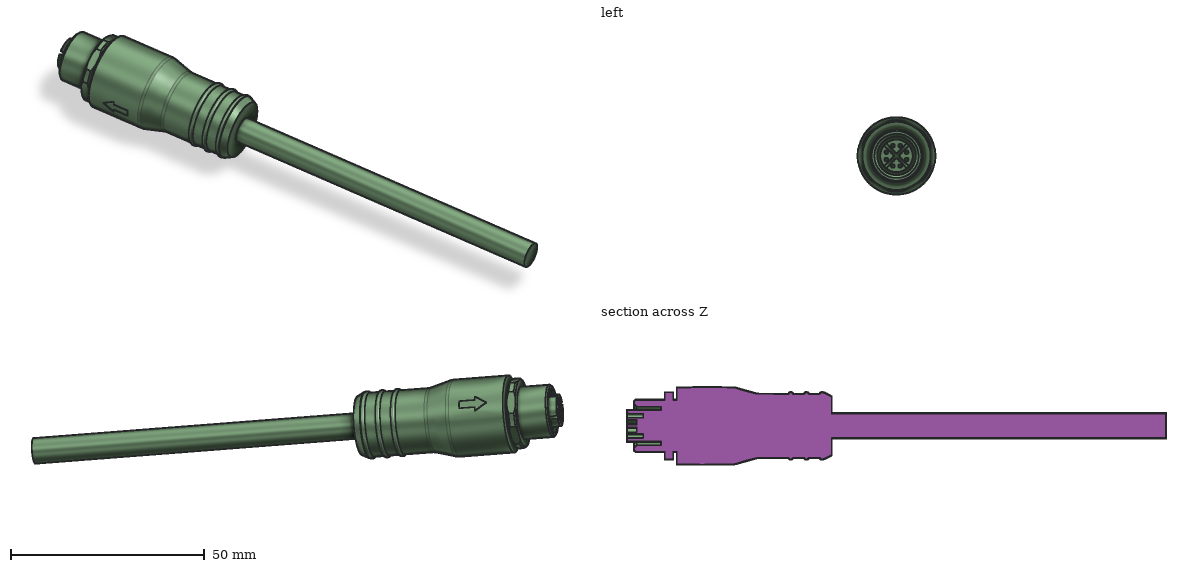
import cadquery as cq
import math

total_length = 139.0

insert_radius = 4.2
slot_width = 0.8
slot_depth = 2.5
slot_angles = (45, 135)
quadrant_count = 4
contact_circle_radius = 2.8
contact_spread = 40.0
contact_hole_diameter = 1.0
contact_hole_depth = 4.2

barrel_start = 1.8
barrel_radius = 6.8
barrel_chamfer = 0.4
bore_radius = 5.0
bore_chamfer = 0.7
bore_depth = 7.0

nut_start = 9.7
nut_end = 12.0
nut_across_flats = 17.4
nut_corner_radius = 9.2
nut_chamfer = 0.4

grip_start = 12.8
grip_radius = 10.0
taper_start = 27.7
taper_end = 33.6
rear_radius = 8.3
taper_blend = 3.0

rib_width = 1.3
rib_height = 0.4
rib_pitch = 4.0
rib_count = 3
first_rib = 42.2
last_rib = first_rib + (rib_count - 1) * rib_pitch
cone_start = last_rib + rib_width / 2
cone_start_radius = 8.6
grip_end = 52.8
grip_end_radius = 7.6

cable_radius = 3.3
cable_overlap = 1.4

arrow_tip = 17.1
arrow_neck = 20.1
arrow_end = 24.3
arrow_half_head = 2.0
arrow_half_shaft = 1.0
arrow_height = 0.07


def cylinder(start, end, radius):
    """Solid cylinder along X between two stations."""
    return cq.Workplane("YZ", origin=(start, 0, 0)).circle(radius).extrude(end - start)


def make_barrel():
    barrel = cylinder(barrel_start, grip_start, barrel_radius).faces("<X").chamfer(barrel_chamfer)
    bore = cylinder(barrel_start, barrel_start + bore_depth, bore_radius)
    mouth_cone = (
        cq.Workplane("YZ", origin=(barrel_start, 0, 0))
        .circle(bore_radius + bore_chamfer)
        .workplane(offset=bore_chamfer)
        .circle(bore_radius)
        .loft()
    )
    return barrel.cut(bore).cut(mouth_cone)


def make_insert():
    insert = cylinder(0, nut_start, insert_radius)
    for angle in slot_angles:
        slot = cq.Workplane("XY").box(slot_depth, 2 * insert_radius, slot_width, centered=(False, True, True))
        insert = insert.cut(slot.rotate((0, 0, 0), (1, 0, 0), angle))
    positions = []
    for quadrant in range(quadrant_count):
        for offset in (-contact_spread / 2, contact_spread / 2):
            angle = math.radians(360 / quadrant_count * quadrant + offset)
            y = contact_circle_radius * math.cos(angle)
            z = contact_circle_radius * math.sin(angle)
            positions.append((y, z))
    holes = (
        cq.Workplane("YZ")
        .pushPoints(positions)
        .circle(contact_hole_diameter / 2)
        .extrude(contact_hole_depth)
    )
    return insert.cut(holes)


def make_nut():
    corner_diameter = nut_across_flats / math.cos(math.radians(30))
    length = nut_end - nut_start
    hexagon = (
        cq.Workplane("YZ", origin=(nut_start, 0, 0))
        .transformed(rotate=(0, 0, 30))
        .polygon(6, corner_diameter)
        .extrude(length)
    )
    turned = cylinder(nut_start, nut_end, nut_corner_radius).faces("<X or >X").chamfer(nut_chamfer)
    return hexagon.intersect(turned)


def make_grip():
    outline = [
        (grip_start, 0),
        (grip_start, grip_radius),
        (taper_start, grip_radius),
        (taper_end, rear_radius),
        (last_rib, rear_radius),
        (cone_start, cone_start_radius),
        (grip_end, grip_end_radius),
        (grip_end, 0),
    ]
    grip = cq.Workplane("XY").polyline(outline).close().revolve(360, (0, 0, 0), (1, 0, 0))
    blend_margin = 0.1
    for station in (taper_start, taper_end):
        selector = cq.selectors.BoxSelector(
            (station - blend_margin, -grip_radius, -grip_radius),
            (station + blend_margin, grip_radius, grip_radius),
        )
        grip = grip.edges("%CIRCLE").edges(selector).fillet(taper_blend)
    for index in range(rib_count):
        grip = grip.union(make_rib(first_rib + index * rib_pitch))
    return grip


def make_rib(station):
    """Disc with a crowned rim that stands proud of the slim rear."""
    front = station - rib_width / 2
    back = station + rib_width / 2
    return (
        cq.Workplane("XY")
        .moveTo(front, 0)
        .lineTo(front, rear_radius)
        .threePointArc((station, rear_radius + rib_height), (back, rear_radius))
        .lineTo(back, 0)
        .close()
        .revolve(360, (0, 0, 0), (1, 0, 0))
    )


def make_arrows():
    outline = [
        (arrow_tip, 0),
        (arrow_neck, arrow_half_head),
        (arrow_neck, arrow_half_shaft),
        (arrow_end, arrow_half_shaft),
        (arrow_end, -arrow_half_shaft),
        (arrow_neck, -arrow_half_shaft),
        (arrow_neck, -arrow_half_head),
    ]
    bars = cq.Workplane("XZ").polyline(outline).close().extrude(2 * grip_radius, both=True)
    return bars.intersect(cylinder(grip_start, taper_start, grip_radius + arrow_height))


def make_cable():
    return cylinder(grip_end - cable_overlap, total_length, cable_radius)


result = (
    make_barrel()
    .union(make_insert())
    .union(make_nut())
    .union(make_grip())
    .union(make_arrows())
    .union(make_cable())
)